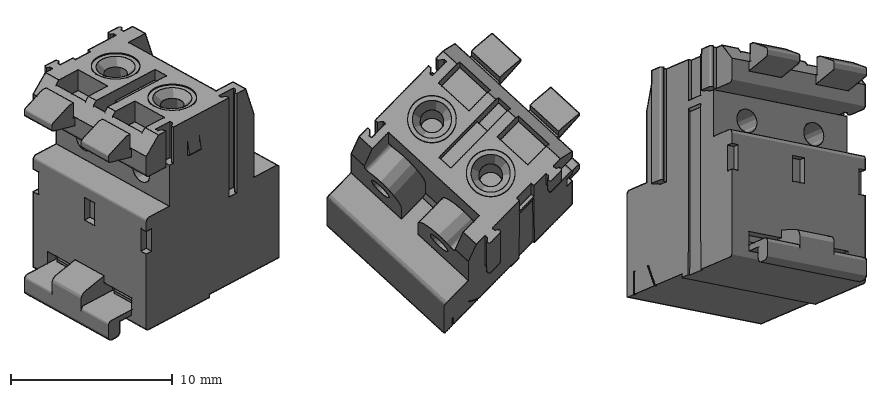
import cadquery as cq
import math


body_width = 10.0
body_depth = 11.49
body_height = 13.9
half_width = body_width / 2
pole_pitch = 5.0
pole_positions = (-pole_pitch / 2, pole_pitch / 2)

rear_block_top = 7.1
rear_underside = 0.23
rear_underside_start = 5.48
head_back = 9.32
head_back_slope_start = 11.72
head_back_top = 8.6
head_front_top = 1.06
head_front_bevel_bottom = 12.8
recess_depth = 2.0
recess_bottom = 8.25
recess_top = 11.26
shoulder_radius = 0.29
head_lip_radius = 0.23
base_radius = 0.17
rear_base_radius = 0.1

barrel_radius = 3.6 / 2
barrel_axis_z = 9.68
wire_hole_diameter = 1.5
opening_half_width = 3.87
opening_front = 7.15
opening_fillet = 0.3
opening_floor_bevel = 0.29

screw_y = 4.69
screw_rim_diameter = 3.0
screw_rim_depth = 0.07
screw_cone_diameter = 2.42
screw_hole_diameter = 1.45
screw_hole_depth = 2.59

pocket_width = 2.6
pocket_front = 0.82
pocket_back = 2.73
pocket_depth = 1.52
slot_width = 1
slot_back = 6.15
slot_depth = 0.76

rear_dovetail_y = 7.49
front_dovetail_y = 2.03
rear_dovetail_bottom = 6.61
rail_depth = 0.56
rail_head_half = 0.53
rail_neck_half = 0.33
rail_neck_depth = 0.23
rail_flank_depth = 0.33
rail_head_radius = 0.12
dovetail_slot_depth = 0.6
dovetail_slot_half = 0.62
dovetail_slot_neck_half = 0.33
dovetail_slot_neck_depth = 0.19
dovetail_slot_flank_depth = 0.4

snap_y = 4.08
snap_groove_width = 1.3
snap_groove_depth = 0.23
guide_groove_top = 10.73
guide_groove_depth = 0.12
guide_groove_ramp = 0.17
guide_groove_foot_width = 1.38
bump_width = 1
bump_top = 12.28
bump_bottom = 11.26
bump_tip_z = 11.36
bump_height = 0.17

slit_width = 0.09
slit_depth = 0.12
slit_top = 1.73
straight_slit_y = 10.7
slanted_slit_top_y = 9.2
slanted_slit_foot_y = 8.44

socket_bottom = 5.64
socket_top = 7.29
socket_depth = 0.47
socket_width = 0.89

reach = 2.01
hook_width = 2.43
hook_base_z = 12.18
hook_root = 0.58
hook_gap = 0.13
hook_flat_end = 0.46
hook_tip_low_z = 12.65
hook_tip_high_z = 13.17
hook_tip_radius = 0.19
hook_crest_radius = 0.26
lever_width = 7.42
lever_bottom = body_height - 14.38
lever_underside = 0.56
shelf_top = 0.96
shelf_radius = 0.29
leg_thickness = 1
leg_radius = 0.32
tab_width = 2.57
tab_base_z = 2.35
tab_tip_z = 1.85
tab_radius = 0.52
window_top = 1.83
window_depth = 0.72
ledge_margin = 0.29
ledge_depth = 0.17
ledge_step_z = 1.15
ledge_top = 1.41


def box(x_range, y_range, z_range):
    """Box spanning the given (low, high) ranges."""
    size = [high - low for low, high in (x_range, y_range, z_range)]
    corner = (x_range[0], y_range[0], z_range[0])
    return cq.Workplane("XY").box(*size, centered=False).translate(corner)


def side_prism(points, width, center_x=0):
    """Extrude a (Y, Z) outline along X, centred on center_x."""
    prism = cq.Workplane("YZ").polyline(points).close().extrude(width / 2, both=True)
    return prism.translate((center_x, 0, 0))


def round_edges(solid, corners, radius, center_x=0):
    """Fillet the X-direction edges passing through the given (Y, Z) corners."""
    for y, z in corners:
        solid = solid.edges(cq.NearestToPointSelector((center_x, y, z))).fillet(radius)
    return solid


def make_housing():
    housing = side_prism(
        [
            (0, 0),
            (rear_underside_start, 0),
            (rear_underside_start, rear_underside),
            (body_depth, rear_underside),
            (body_depth, rear_block_top),
            (head_back, rear_block_top),
            (head_back, head_back_slope_start),
            (head_back_top, body_height),
            (head_front_top, body_height),
            (0, head_front_bevel_bottom),
            (0, recess_top),
            (recess_depth, recess_top),
            (recess_depth, recess_bottom),
            (0, recess_bottom),
        ],
        body_width,
    )
    housing = round_edges(housing, [(body_depth, rear_block_top), (0, recess_bottom)], shoulder_radius)
    housing = round_edges(housing, [(0, recess_top)], head_lip_radius)
    housing = round_edges(housing, [(0, 0)], base_radius)
    return round_edges(housing, [(body_depth, rear_underside)], rear_base_radius)


def make_barrel_opening():
    """Space behind the head, bounded below by the two rounded wire barrels."""
    barrel_x = pole_pitch / 2
    inner_x = barrel_x - barrel_radius
    fillet_x = opening_half_width - opening_fillet
    centre_distance = barrel_radius + opening_fillet
    lean = math.asin((fillet_x - barrel_x) / centre_distance)
    fillet_z = barrel_axis_z + centre_distance * math.cos(lean)
    touch_x = barrel_x + barrel_radius * math.sin(lean)
    touch_z = barrel_axis_z + barrel_radius * math.cos(lean)
    mid_angle = -(math.pi / 2 + lean) / 2
    mid_x = fillet_x + opening_fillet * math.cos(mid_angle)
    mid_z = fillet_z + opening_fillet * math.sin(mid_angle)

    half = (
        cq.Workplane("XZ", origin=(0, opening_front, 0))
        .moveTo(0, rear_block_top)
        .lineTo(inner_x, rear_block_top)
        .lineTo(inner_x, barrel_axis_z)
        .threePointArc((barrel_x, barrel_axis_z + barrel_radius), (touch_x, touch_z))
        .threePointArc((mid_x, mid_z), (opening_half_width, fillet_z))
        .lineTo(opening_half_width, body_height)
        .lineTo(0, body_height)
        .close()
        .extrude(opening_front - body_depth)
    )
    floor_bevel = side_prism(
        [
            (opening_front, rear_block_top),
            (opening_front + opening_floor_bevel, rear_block_top),
            (opening_front, rear_block_top + opening_floor_bevel),
        ],
        2 * inner_x,
    )
    return half.union(half.mirror("YZ")).cut(floor_bevel)


def make_wire_hole(x):
    return (
        cq.Workplane("XZ", origin=(x, 0, barrel_axis_z))
        .circle(wire_hole_diameter / 2)
        .extrude(-body_depth)
    )


def make_screw_opening(x):
    """Shallow rim, 45 degree cone and blind hole, revolved about a vertical axis."""
    rim, cone, hole = (d / 2 for d in (screw_rim_diameter, screw_cone_diameter, screw_hole_diameter))
    cone_bottom = screw_rim_depth + cone - hole
    profile = [
        (0, 0),
        (rim, 0),
        (rim, -screw_rim_depth),
        (cone, -screw_rim_depth),
        (hole, -cone_bottom),
        (hole, -screw_hole_depth),
        (0, -screw_hole_depth),
    ]
    opening = cq.Workplane("XZ").polyline(profile).close().revolve(360, (0, 0), (0, 1))
    return opening.translate((x, screw_y, body_height))


def make_top_pocket(x, width, back, depth):
    x_range = (x - width / 2, x + width / 2)
    return box(x_range, (pocket_front, back), (body_height - depth, body_height))


def make_rail(y, bottom):
    """Dovetail rail standing on the -X side, running up to the top."""
    half_outline = [
        (0, rail_neck_half),
        (-rail_neck_depth, rail_neck_half),
        (-rail_flank_depth, rail_head_half),
        (-rail_depth, rail_head_half),
    ]
    outline = half_outline + [(x, -offset) for x, offset in reversed(half_outline)]
    rail = cq.Workplane("XY").polyline(outline).close().extrude(body_height - bottom)
    rail = rail.faces("<X").edges("|Z").fillet(rail_head_radius)
    return rail.translate((-half_width, y, bottom))


def make_dovetail_slot(y, bottom):
    """Dovetail slot in the +X side, open at the top."""
    half_outline = [
        (0, dovetail_slot_neck_half),
        (-dovetail_slot_neck_depth, dovetail_slot_neck_half),
        (-dovetail_slot_flank_depth, dovetail_slot_half),
        (-dovetail_slot_depth, dovetail_slot_half),
    ]
    outline = half_outline + [(x, -offset) for x, offset in reversed(half_outline)]
    slot = cq.Workplane("XY").polyline(outline).close().extrude(body_height - bottom)
    return slot.translate((half_width, y, bottom))


def make_snap_groove():
    y_range = (snap_y - snap_groove_width / 2, snap_y + snap_groove_width / 2)
    x_range = (-half_width, -half_width + snap_groove_depth)
    return box(x_range, y_range, (recess_top, body_height))


def make_guide_groove():
    """Groove that widens downwards and starts with a sloping top end."""
    top_half = snap_groove_width / 2
    foot_half = guide_groove_foot_width / 2
    groove = side_prism(
        [
            (snap_y - foot_half, 0),
            (snap_y + foot_half, 0),
            (snap_y + top_half, guide_groove_top),
            (snap_y - top_half, guide_groove_top),
        ],
        2 * guide_groove_depth,
        -half_width,
    )
    ramp = (
        cq.Workplane("XZ", origin=(-half_width, snap_y, guide_groove_top))
        .polyline([(0, 0), (guide_groove_depth, 0), (guide_groove_depth, -guide_groove_ramp)])
        .close()
        .extrude(guide_groove_foot_width / 2, both=True)
    )
    return groove.cut(ramp)


def make_snap_bump():
    return (
        cq.Workplane("XZ", origin=(half_width, snap_y, 0))
        .polyline([(0, bump_bottom), (bump_height, bump_tip_z), (0, bump_top)])
        .close()
        .extrude(bump_width / 2, both=True)
    )


def make_slit(top_y, foot_y):
    half = slit_width / 2
    return side_prism(
        [
            (foot_y - half, rear_underside),
            (foot_y + half, rear_underside),
            (top_y + half, slit_top),
            (top_y - half, slit_top),
        ],
        2 * slit_depth,
        -half_width,
    )


def make_sockets():
    """One socket in the middle of the front face and a half socket at each side."""
    sockets = cq.Workplane("XY")
    half = socket_width / 2
    side_x = half_width - socket_depth
    for x_range in ((-half, half), (-half_width, -side_x), (side_x, half_width)):
        sockets = sockets.union(box(x_range, (0, socket_depth), (socket_bottom, socket_top)))
    return sockets


def make_hook(x):
    hook = side_prism(
        [
            (hook_root, hook_base_z),
            (0, hook_base_z),
            (-reach, hook_tip_low_z),
            (-reach, hook_tip_high_z),
            (-hook_flat_end, body_height),
            (-hook_gap, body_height),
            (-hook_gap, head_front_bevel_bottom),
            (hook_root, head_front_bevel_bottom),
        ],
        hook_width,
        x,
    )
    tip_corners = [(-reach, hook_tip_low_z), (-reach, hook_tip_high_z)]
    hook = round_edges(hook, tip_corners, hook_tip_radius, x)
    return round_edges(hook, [(-hook_flat_end, body_height)], hook_crest_radius, x)


def make_lever():
    """Wide shelf with a hanging leg, and a taller tab in its middle."""
    shelf = side_prism(
        [
            (window_depth, lever_underside),
            (window_depth, shelf_top),
            (-reach, shelf_top),
            (-reach, lever_bottom),
            (leg_thickness - reach, lever_bottom),
            (leg_thickness - reach, lever_underside),
        ],
        lever_width,
    )
    shelf = round_edges(shelf, [(-reach, shelf_top)], shelf_radius)
    leg_corners = [(-reach, lever_bottom), (leg_thickness - reach, lever_bottom)]
    shelf = round_edges(shelf, leg_corners, leg_radius)
    tab = side_prism(
        [
            (window_depth, lever_underside),
            (window_depth, tab_base_z),
            (0, tab_base_z),
            (-reach, tab_tip_z),
            (-reach, lever_underside),
        ],
        tab_width,
    )
    return shelf.union(round_edges(tab, [(-reach, tab_tip_z)], tab_radius))


def make_lever_window():
    x_range = (-lever_width / 2, lever_width / 2)
    return box(x_range, (0, window_depth), (shelf_top, window_top))


def make_window_ledge(x):
    """Small sloped-top ledge on the window's back wall, beside the tab."""
    width = (lever_width - tab_width) / 2 - 2 * ledge_margin
    return side_prism(
        [
            (window_depth, shelf_top),
            (window_depth - ledge_depth, shelf_top),
            (window_depth - ledge_depth, ledge_step_z),
            (window_depth, ledge_top),
        ],
        width,
        x,
    )


body = make_housing()

body = body.cut(make_barrel_opening())
for pole_x in pole_positions:
    body = body.cut(make_wire_hole(pole_x))
    body = body.cut(make_screw_opening(pole_x))
    body = body.cut(make_top_pocket(pole_x, pocket_width, pocket_back, pocket_depth))
body = body.cut(make_top_pocket(0, slot_width, slot_back, slot_depth))
body = body.cut(make_top_pocket(0, slot_width, pocket_back, pocket_depth))
body = body.cut(make_sockets())

dovetails = ((rear_dovetail_y, rear_dovetail_bottom), (front_dovetail_y, recess_top))
for dovetail_y, dovetail_bottom in dovetails:
    body = body.union(make_rail(dovetail_y, dovetail_bottom))
    body = body.cut(make_dovetail_slot(dovetail_y, dovetail_bottom))
body = body.cut(make_snap_groove())
body = body.cut(make_guide_groove())
body = body.union(make_snap_bump())
body = body.cut(make_slit(straight_slit_y, straight_slit_y))
body = body.cut(make_slit(slanted_slit_top_y, slanted_slit_foot_y))

body = body.cut(make_lever_window())
body = body.union(make_lever())
for pole_x in pole_positions:
    body = body.union(make_hook(pole_x))
    body = body.union(make_window_ledge(pole_x))

result = body